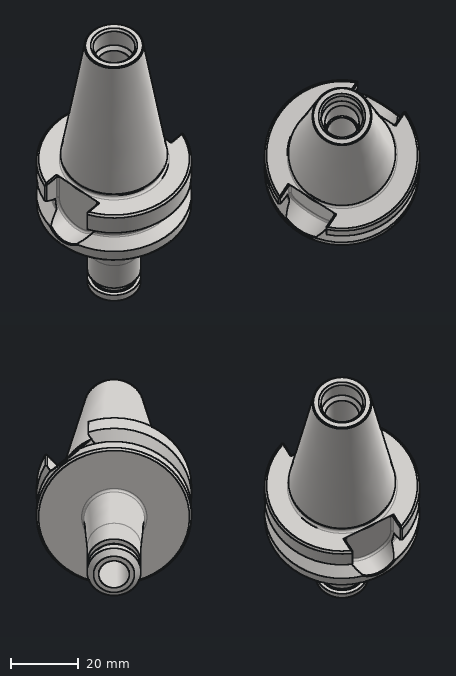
import cadquery as cq
import math

total_length = 106.4
flange_bottom = 36.0
flange_height = 20.0
flange_top = flange_bottom + flange_height
gauge_line = flange_top + 2.0

nose_radius = 8.0
nose_tip_radius = 6.1
nose_chamfer_height = 1.5
groove_radius = 6.5
groove_bottom = 4.0
groove_top = 7.2
groove_rim_chamfer = 0.3
cylinder_top = 17.3
shank_top_radius = 8.9
shank_fillet = 0.7

flange_radius = 23.0
flange_chamfer = 0.6
v_root_radius = 18.8
v_lower_edge = 40.4
v_root_bottom = 42.9
v_root_top = 46.2
v_upper_edge = 48.7
v_root_fillet = 0.6

taper_base_radius = 15.9
taper_slope = 7 / 48
taper_top_radius = taper_base_radius - (total_length - gauge_line) * taper_slope
taper_top_chamfer = 0.3
neck_radius = 15.4
neck_top = gauge_line - 0.6
neck_fillet = 0.9

through_radius = 4.52
thread_radius = 5.05
thread_depth = 21.3
counterbore_radius = 6.22
counterbore_depth = 6.8
counterbore_cone_angle = 45
mouth_radius = 6.9

slot_radius = 8.1
slot_floor = 16.1
slot_bottom = 38.6
slot_fillet = 0.6
slot_edge_chamfer = 0.4
slot_rim_chamfer = 0.3


def make_body():
    """Revolve the outside of the holder about Z."""
    arc_offset = math.sqrt(0.5)
    shank_arc_mid = (
        shank_top_radius + shank_fillet * (1 - arc_offset),
        flange_bottom - shank_fillet * (1 - arc_offset),
    )
    neck_arc_mid = (
        neck_radius + neck_fillet * (1 - arc_offset),
        flange_top + neck_fillet * (1 - arc_offset),
    )
    profile = (
        cq.Workplane("XZ")
        .moveTo(0, 0)
        .lineTo(nose_tip_radius, 0)
        .lineTo(nose_radius, nose_chamfer_height)
        .lineTo(nose_radius, groove_bottom)
        .lineTo(groove_radius + groove_rim_chamfer, groove_bottom)
        .lineTo(groove_radius, groove_bottom + groove_rim_chamfer)
        .lineTo(groove_radius, groove_top)
        .lineTo(nose_radius, groove_top)
        .lineTo(nose_radius, cylinder_top)
        .lineTo(shank_top_radius, flange_bottom - shank_fillet)
        .threePointArc(shank_arc_mid, (shank_top_radius + shank_fillet, flange_bottom))
        .lineTo(flange_radius - flange_chamfer, flange_bottom)
        .lineTo(flange_radius, flange_bottom + flange_chamfer)
        .lineTo(flange_radius, v_lower_edge)
        .lineTo(v_root_radius, v_root_bottom)
        .lineTo(v_root_radius, v_root_top)
        .lineTo(flange_radius, v_upper_edge)
        .lineTo(flange_radius, flange_top - flange_chamfer)
        .lineTo(flange_radius - flange_chamfer, flange_top)
        .lineTo(neck_radius + neck_fillet, flange_top)
        .threePointArc(neck_arc_mid, (neck_radius, flange_top + neck_fillet))
        .lineTo(neck_radius, neck_top)
        .lineTo(taper_base_radius, gauge_line)
        .lineTo(taper_top_radius, total_length - taper_top_chamfer)
        .lineTo(taper_top_radius - taper_top_chamfer, total_length)
        .lineTo(0, total_length)
        .close()
    )
    body = profile.revolve(360, (0, 0, 0), (0, 1, 0))
    v_root_edges = cq.selectors.BoxSelector(
        (-flange_radius, -flange_radius, v_root_bottom - v_root_fillet),
        (flange_radius, flange_radius, v_root_top + v_root_fillet),
    )
    return body.edges(v_root_edges).edges("%CIRCLE").fillet(v_root_fillet)


def make_bore():
    """Revolve the stepped through bore with its countersunk mouth."""
    cone_top = total_length - counterbore_depth
    cone_drop = (counterbore_radius - thread_radius) * math.tan(math.radians(counterbore_cone_angle))
    thread_bottom = total_length - thread_depth
    mouth_depth = mouth_radius - counterbore_radius
    profile = (
        cq.Workplane("XZ")
        .moveTo(0, 0)
        .lineTo(through_radius, 0)
        .lineTo(through_radius, thread_bottom)
        .lineTo(thread_radius, thread_bottom)
        .lineTo(thread_radius, cone_top - cone_drop)
        .lineTo(counterbore_radius, cone_top)
        .lineTo(counterbore_radius, total_length - mouth_depth)
        .lineTo(mouth_radius, total_length)
        .lineTo(0, total_length)
        .close()
    )
    return profile.revolve(360, (0, 0, 0), (0, 1, 0))


def make_slot_cutter():
    """Make the -Y drive slot: U-shaped, filleted around the floor."""
    arc_center = slot_bottom + slot_radius
    cutter = (
        cq.Workplane("XZ", origin=(0, -slot_floor, 0))
        .moveTo(-slot_radius, flange_top)
        .lineTo(-slot_radius, arc_center)
        .threePointArc((0, slot_bottom), (slot_radius, arc_center))
        .lineTo(slot_radius, flange_top)
        .close()
        .extrude(flange_radius - slot_floor)
    )
    return cutter.faces(">Y").edges("not >Z").fillet(slot_fillet)


def make_slot_bevels():
    """Make the bevels along the top and outer edges of the two slot walls."""
    wide = slot_radius + slot_edge_chamfer
    top_bevel = (
        cq.Workplane("XZ", origin=(0, -slot_floor, 0))
        .polyline([
            (-slot_radius, flange_top - slot_edge_chamfer),
            (slot_radius, flange_top - slot_edge_chamfer),
            (wide, flange_top),
            (-wide, flange_top),
        ])
        .close()
        .extrude(flange_radius - slot_floor)
    )
    wall_end = math.sqrt(flange_radius**2 - wide**2)
    outer_bevel = (
        cq.Workplane("XY", origin=(0, 0, v_root_top))
        .polyline([
            (-slot_radius, -wall_end + slot_edge_chamfer),
            (slot_radius, -wall_end + slot_edge_chamfer),
            (wide, -wall_end),
            (wide, -flange_radius),
            (-wide, -flange_radius),
            (-wide, -wall_end),
        ])
        .close()
        .extrude(flange_top - v_root_top)
    )
    return top_bevel.union(outer_bevel)


result = make_body().cut(make_bore())
slot = make_slot_cutter().union(make_slot_bevels())
for angle in (0, 180):
    result = result.cut(slot.rotate((0, 0, 0), (0, 0, 1), angle))

for side in (-1, 1):
    lower_rim = cq.selectors.BoxSelector(
        (-slot_radius, side * (slot_floor + flange_radius) / 2, slot_bottom),
        (slot_radius, side * (flange_radius + 1.1), v_lower_edge),
    )
    result = result.edges(lower_rim).chamfer(slot_rim_chamfer)